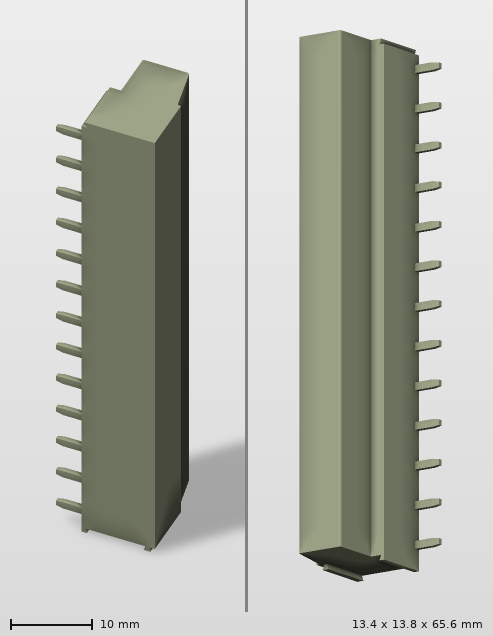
import cadquery as cq

total_height = 65.6
total_depth = 13.8
body_width = 9.85

base_depth = 7.35
lip_depth = 7.75
lip_width = 0.45
tower_inset = 2.0
tower_top_width = 6.2
tower_edge_radius = 0.3

tongue_height = 0.65
groove_depth = 0.7
dovetail_mouth = 0.45
dovetail_full = 0.7
rail_offset = 8.8
rail_neck_width = 0.45
rail_tip_width = 0.9

pin_count = 13
pin_pitch = 5.0
first_pin_height = 3.15
pin_length = 3.55
pin_tip_length = 1.0
pin_depth = 0.7
pin_thickness = 1.0
pin_tip_depth = 0.5
pin_tip_thickness = 0.7
pin_center_depth = 0.5


def make_housing():
    """Stepped block with one sloped tower wall."""
    return (
        cq.Workplane("XY", origin=(0, 0, tongue_height))
        .polyline([
            (0, 0),
            (body_width, 0),
            (body_width, lip_depth),
            (body_width - lip_width, lip_depth),
            (tower_inset + tower_top_width, total_depth),
            (tower_inset, total_depth),
            (tower_inset, base_depth),
            (0, base_depth),
        ])
        .close()
        .extrude(total_height - tongue_height)
        .faces(">Y")
        .edges("|Z")
        .fillet(tower_edge_radius)
    )


def extrude_along_depth(points):
    """Extrude an XZ outline from the front face through the base depth."""
    return cq.Workplane("XZ").polyline(points).close().extrude(-base_depth)


def make_groove():
    """Undercut groove along the top edge of the pin face."""
    floor = total_height - groove_depth
    return extrude_along_depth([
        (0, floor),
        (dovetail_full, floor),
        (dovetail_mouth, total_height),
        (0, total_height),
    ])


def make_tongue():
    """Dovetail tongue that continues the pin face below the bottom end."""
    return extrude_along_depth([
        (0, 0),
        (dovetail_full, 0),
        (dovetail_mouth, tongue_height),
        (0, tongue_height),
    ])


def make_rail():
    """Dovetail rail near the far side of the bottom end."""
    return extrude_along_depth([
        (rail_offset - rail_tip_width / 2, 0),
        (rail_offset + rail_tip_width / 2, 0),
        (rail_offset + rail_neck_width / 2, tongue_height),
        (rail_offset - rail_neck_width / 2, tongue_height),
    ])


def make_pin(height):
    """Rectangular pin with a tapered tip, pointing to -X."""
    shank_length = pin_length - pin_tip_length
    shank = (
        cq.Workplane("YZ", origin=(0, pin_center_depth, height))
        .rect(pin_depth, pin_thickness)
        .extrude(-shank_length)
    )
    tip = (
        cq.Workplane("YZ", origin=(-shank_length, pin_center_depth, height))
        .rect(pin_depth, pin_thickness)
        .workplane(offset=-pin_tip_length)
        .rect(pin_tip_depth, pin_tip_thickness)
        .loft(ruled=True)
    )
    return shank.union(tip)


result = make_housing().cut(make_groove()).union(make_tongue()).union(make_rail())
for index in range(pin_count):
    result = result.union(make_pin(first_pin_height + index * pin_pitch))